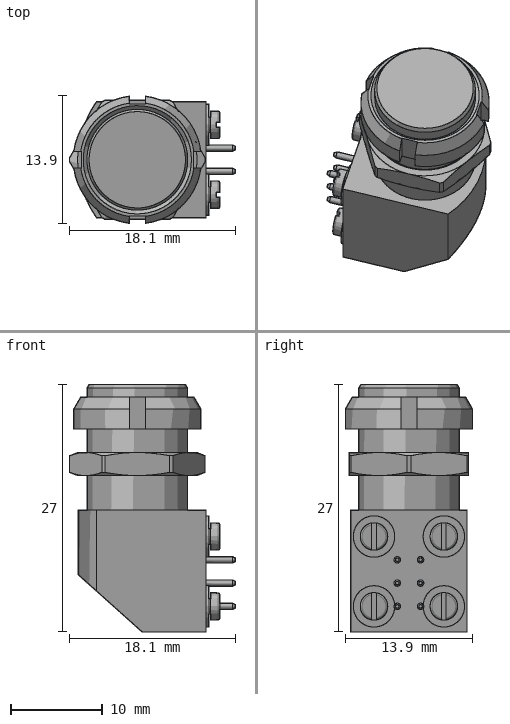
import cadquery as cq
import math

TOTAL_HEIGHT = 27.0
BLOCK_HEIGHT = 13.3
BLOCK_WIDTH = 12.7
BLOCK_BACK_X = 7.5
BLOCK_FRONT_X = -6.45
FRONT_RADIUS = 11.0
SLOPE_TOP_Z = 6.26
SLOPE_BOTTOM_X = 0.55

BARREL_DIAMETER = 11.0
BARREL_TOP_DIAMETER = 10.5
BARREL_CHAMFER_HEIGHT = 0.4

RING_DIAMETER = 13.99
RING_TOP_DIAMETER = 12.47
RING_MOUTH_DIAMETER = 11.8
RING_BOTTOM_Z = 22.1
RING_HEIGHT = 3.5
RING_CONE_HEIGHT = 1.32
RING_SLOT_WIDTH = 1.75
RING_SLOT_FLOOR_RADIUS = 6.1
RING_SLOT_COUNT = 4

HEX_SIDES = 6
HEX_ACROSS_FLATS = 13.01
HEX_CORNER_DIAMETER = 14.8
HEX_BOTTOM_Z = 17.06
HEX_THICKNESS = 2.5
HEX_CHAMFER_HEIGHT = 0.35
HEX_MOUTH_DIAMETER = 11.5

GRID_PITCH = 2.55
GRID_CENTRE_Z = 6.62
SCREW_OFFSET = 1.5 * GRID_PITCH
PIN_OFFSET = 0.5 * GRID_PITCH

WASHER_DIAMETER = 4.5
WASHER_THICKNESS = 0.3
NECK_DIAMETER = 1.7
NECK_LENGTH = 0.2
HEAD_DIAMETER = 3.0
HEAD_LENGTH = 1.0
HEAD_RIM_FILLET = 0.2
DRIVER_SLOT_WIDTH = 0.5
DRIVER_SLOT_DEPTH = 0.38

PIN_DIAMETER = 0.7
PIN_ROW_COUNT = 3
PIN_LENGTH = 3.19
PIN_TIP_LENGTH = 0.32
PIN_TIP_DIAMETER = 0.38


def revolved(profile):
    """Turn a (radius, height) outline about the Z axis."""
    return cq.Workplane("XZ").polyline(profile).close().revolve(360, (0, 0), (0, 1))


def along_x(diameter, length, x, y, z):
    """A round bar that starts at (x, y, z) and runs towards +X."""
    plane = cq.Plane(origin=(x, y, z), xDir=(0, 1, 0), normal=(1, 0, 0))
    return cq.Workplane(plane).circle(diameter / 2).extrude(length)


def make_block():
    half_width = BLOCK_WIDTH / 2
    sagitta = FRONT_RADIUS - math.sqrt(FRONT_RADIUS**2 - half_width**2)
    corner_x = BLOCK_FRONT_X + sagitta
    block = (
        cq.Workplane("XY")
        .moveTo(BLOCK_BACK_X, -half_width)
        .lineTo(BLOCK_BACK_X, half_width)
        .lineTo(corner_x, half_width)
        .threePointArc((BLOCK_FRONT_X, 0), (corner_x, -half_width))
        .close()
        .extrude(BLOCK_HEIGHT)
    )
    below_slope = (
        cq.Workplane("XZ")
        .polyline([(BLOCK_FRONT_X, 0), (SLOPE_BOTTOM_X, 0), (BLOCK_FRONT_X, SLOPE_TOP_Z)])
        .close()
        .extrude(half_width, both=True)
    )
    return block.cut(below_slope)


def make_barrel():
    radius = BARREL_DIAMETER / 2
    return revolved([
        (0, BLOCK_HEIGHT),
        (radius, BLOCK_HEIGHT),
        (radius, TOTAL_HEIGHT - BARREL_CHAMFER_HEIGHT),
        (BARREL_TOP_DIAMETER / 2, TOTAL_HEIGHT),
        (0, TOTAL_HEIGHT),
    ])


def make_screw(y, z):
    """A slotted screw with its washer, standing on the mounting face."""
    washer = along_x(WASHER_DIAMETER, WASHER_THICKNESS, BLOCK_BACK_X, y, z)
    neck_x = BLOCK_BACK_X + WASHER_THICKNESS
    neck = along_x(NECK_DIAMETER, NECK_LENGTH, neck_x, y, z)
    head_x = neck_x + NECK_LENGTH
    head = along_x(HEAD_DIAMETER, HEAD_LENGTH, head_x, y, z).faces(">X").edges().fillet(HEAD_RIM_FILLET)
    driver_slot = cq.Workplane("XY").box(
        2 * DRIVER_SLOT_DEPTH, DRIVER_SLOT_WIDTH, HEAD_DIAMETER
    ).translate((head_x + HEAD_LENGTH, y, z))
    return washer.union(neck).union(head.cut(driver_slot))


def make_pin(y, z):
    """A contact pin with a tapered tip."""
    pin = along_x(PIN_DIAMETER, PIN_LENGTH, BLOCK_BACK_X, y, z)
    tip_inset = (PIN_DIAMETER - PIN_TIP_DIAMETER) / 2
    return pin.faces(">X").chamfer(PIN_TIP_LENGTH, tip_inset)


def make_housing():
    """Block, barrel, screws and contact pins as one body."""
    housing = make_block().union(make_barrel())
    for y in (-SCREW_OFFSET, SCREW_OFFSET):
        for dz in (-SCREW_OFFSET, SCREW_OFFSET):
            housing = housing.union(make_screw(y, GRID_CENTRE_Z + dz))
    for y in (-PIN_OFFSET, PIN_OFFSET):
        for row in range(PIN_ROW_COUNT):
            z = GRID_CENTRE_Z - SCREW_OFFSET + row * GRID_PITCH
            housing = housing.union(make_pin(y, z))
    return housing


def make_ring_nut():
    """Round nut with a coned top, a countersunk mouth and radial slots."""
    outer = RING_DIAMETER / 2
    bore = BARREL_DIAMETER / 2
    mouth = RING_MOUTH_DIAMETER / 2
    top_z = RING_BOTTOM_Z + RING_HEIGHT
    ring = revolved([
        (bore, RING_BOTTOM_Z),
        (outer, RING_BOTTOM_Z),
        (outer, top_z - RING_CONE_HEIGHT),
        (RING_TOP_DIAMETER / 2, top_z),
        (mouth, top_z),
        (bore, top_z - (mouth - bore)),
    ])
    slot = cq.Workplane("XY").box(
        outer, RING_SLOT_WIDTH, RING_HEIGHT, centered=(False, True, False)
    ).translate((RING_SLOT_FLOOR_RADIUS, 0, RING_BOTTOM_Z))
    for i in range(RING_SLOT_COUNT):
        ring = ring.cut(slot.rotate((0, 0, 0), (0, 0, 1), i * 360 / RING_SLOT_COUNT))
    return ring


def make_hex_nut():
    """Hexagon nut with turned corners, chamfered and countersunk on both faces."""
    top_z = HEX_BOTTOM_Z + HEX_THICKNESS
    flat = HEX_ACROSS_FLATS / 2
    corner = HEX_CORNER_DIAMETER / 2
    bore = BARREL_DIAMETER / 2
    mouth = HEX_MOUTH_DIAMETER / 2
    countersink = mouth - bore
    across_corners = HEX_ACROSS_FLATS / math.cos(math.pi / HEX_SIDES)
    hexagon = (
        cq.Workplane("XY", origin=(0, 0, HEX_BOTTOM_Z))
        .polygon(HEX_SIDES, across_corners)
        .extrude(HEX_THICKNESS)
    )
    turned = revolved([
        (bore, HEX_BOTTOM_Z + countersink),
        (mouth, HEX_BOTTOM_Z),
        (flat, HEX_BOTTOM_Z),
        (corner, HEX_BOTTOM_Z + HEX_CHAMFER_HEIGHT),
        (corner, top_z - HEX_CHAMFER_HEIGHT),
        (flat, top_z),
        (mouth, top_z),
        (bore, top_z - countersink),
    ])
    return hexagon.intersect(turned)


housing = make_housing()
ring_nut = make_ring_nut()
hex_nut = make_hex_nut()

result = cq.Compound.makeCompound([housing.val(), ring_nut.val(), hex_nut.val()])